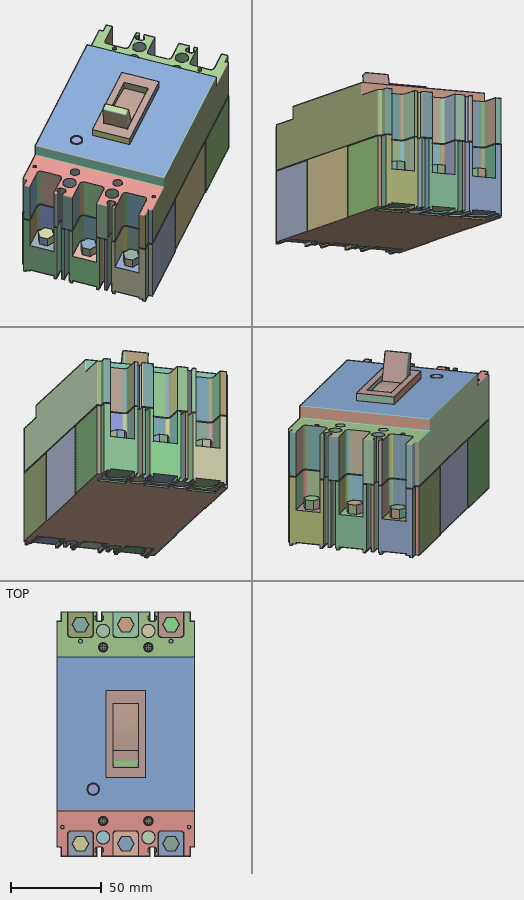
import cadquery as cq
import math


LENGTH = 135.0
WIDTH = 76.0
BASE_TOP = 40.2
SHOULDER_TOP = 65.9
COVER_TOP = 72.9
RAISED_LENGTH = 85.0
COVER_EDGE = 0.4
CORNER_NOTCH_X = 2.3
CORNER_NOTCH_Y = 5.1
SEAM_HEIGHT = 0.4
SEAM_DEPTH = 0.2
SIDE_PANEL_LENGTH = 49.7
SIDE_PANEL_DEPTH = 0.4

POLE_PITCH = 25.0
POLE_CENTRES = (-POLE_PITCH, 0, POLE_PITCH)
GAP_CENTRES = (-POLE_PITCH / 2, POLE_PITCH / 2)
TERMINAL_SIZE = 14.0
TERMINAL_CORNER = 2.0
TERMINAL_FLOOR = 20.8
BOLT_FLATS = 8.0
BOLT_HEIGHT = 5.4
BOLT_TO_END = 7.0

GROOVE_WIDTH = 2.7
GROOVE_OFFSET = 2.2
BARRIER_SEAT_WIDTH = 4.9
BARRIER_SEAT_LENGTH = 3.4

MOUNTING_RADIUS = 3.6
MOUNTING_Y = 57.0
SCREW_HOLE_RADIUS = 2.5
SCREW_HOLE_DEPTH = 8.1
SCREW_HEAD_RADIUS = 2.0
SCREW_HEAD_HEIGHT = 2.0
SCREW_SLOT_WIDTH = 1.0
SCREW_SLOT_DEPTH = 1.1
SCREW_Y = 47.9
PIN_HOLE_DEPTH = 1.4
PIN_HOLE_Y = 51.3
REAR_PIN_RADIUS = 1.1
FRONT_PIN_RADIUS = 1.0
FRONT_PIN_X = 35.0

TERMINAL_RECESS_DEPTH = 1.9
SHALLOW_RECESS_DEPTH = 1.0
SHALLOW_RECESS_LENGTH = 16.2
SHALLOW_RECESS_X = 34.2
MOUNTING_RECESS_WIDTH = 8.2
MOUNTING_RECESS_DEPTH = 1.1

BEZEL_WIDTH = 21.9
BEZEL_LENGTH = 48.0
BEZEL_TOP = 77.2
TOGGLE_WIDTH = 14.0
WELL_LENGTH = 34.0
DRUM_RADIUS = 74.8
TOGGLE_TOP = 90.0
TOGGLE_TOP_DROP = 1.1
TOGGLE_ROOT_Z = 71.5
TOGGLE_ROOT_Y = (-16.0, -8.2)
TOGGLE_TIP_Y = (-18.5, -14.5)
TOGGLE_EDGE = 0.5
BUTTON_X = -18.0
BUTTON_Y = -30.4
BUTTON_RADIUS = 3.0
BUTTON_GAP = 0.4
BUTTON_GAP_DEPTH = 0.7

END_Y = LENGTH / 2
SIDES = (-1, 1)


def block(x_size, y_size, z_low, z_high, x=0, y=0):
    """Upright box centred at (x, y) between two heights."""
    box = cq.Workplane("XY").box(x_size, y_size, z_high - z_low, centered=(True, True, False))
    return box.translate((x, y, z_low))


def cylinder(radius, z_low, z_high, x=0, y=0):
    return cq.Workplane("XY").circle(radius).extrude(z_high - z_low).translate((x, y, z_low))


def end_slot(width, length, z_low, z_high, x, end):
    """Slot with a round inner end, running in from one end face."""
    radius = width / 2
    straight = length - radius
    return block(width, straight, z_low, z_high, x, end * (END_Y - straight / 2)).union(
        cylinder(radius, z_low, z_high, x, end * (END_Y - straight))
    )


def plan(z_low, z_high):
    """Body outline with its four notched corners."""
    narrow = block(WIDTH - 2 * CORNER_NOTCH_X, LENGTH, z_low, z_high)
    return narrow.union(block(WIDTH, LENGTH - 2 * CORNER_NOTCH_Y, z_low, z_high))


def make_base():
    base = plan(0, BASE_TOP)
    for side in SIDES:
        panel_x = side * (WIDTH / 2 - SIDE_PANEL_DEPTH / 2)
        base = base.cut(block(SIDE_PANEL_DEPTH, SIDE_PANEL_LENGTH, 0, BASE_TOP, panel_x))
    groove_length = CORNER_NOTCH_Y + GROOVE_WIDTH / 2
    for end in SIDES:
        for gap in GAP_CENTRES:
            for offset in (-GROOVE_OFFSET, GROOVE_OFFSET):
                base = base.cut(end_slot(GROOVE_WIDTH, groove_length, 0, BASE_TOP, gap + offset, end))
    return base


def make_cover():
    cover = plan(BASE_TOP, SHOULDER_TOP).union(block(WIDTH, RAISED_LENGTH, BASE_TOP, COVER_TOP))
    slot_x = POLE_PITCH / 2 + GROOVE_OFFSET
    seat_y = END_Y - CORNER_NOTCH_Y + BARRIER_SEAT_LENGTH / 2
    mouths = [(side * slot_x, end) for side in SIDES for end in SIDES]
    for x, end in mouths:
        cover = cover.cut(cover_slot(x, end, END_Y - seat_y))
    sharp_corner = cq.selectors.BoxSelector(
        (WIDTH / 2 - 2 * CORNER_NOTCH_X, -END_Y - COVER_EDGE, BASE_TOP + COVER_EDGE),
        (WIDTH / 2 + COVER_EDGE, -END_Y + 2 * CORNER_NOTCH_Y, SHOULDER_TOP - COVER_EDGE),
    )
    rounded_edges = cq.selectors.StringSyntaxSelector("not <Z") - sharp_corner
    cover = cover.edges(rounded_edges).fillet(COVER_EDGE)
    for x, end in mouths:
        seat = cq.Workplane("XY").slot2D(BARRIER_SEAT_WIDTH, BARRIER_SEAT_LENGTH)
        seat = seat.extrude(SHOULDER_TOP - BASE_TOP).translate((x, end * seat_y, BASE_TOP))
        cover = cover.cut(seat).cut(cover_slot(x, end, CORNER_NOTCH_Y))
    return cover


def cover_slot(x, end, length):
    """Square-ended slot through the cover shoulder."""
    return block(GROOVE_WIDTH, length, BASE_TOP, SHOULDER_TOP, x, end * (END_Y - length / 2))


def cut_seam(body):
    """Shallow groove around the parting plane, following the walls and the terminal bays."""
    low = BASE_TOP - SEAM_HEIGHT
    inset = 2 * SEAM_DEPTH
    core = block(WIDTH - 2 * CORNER_NOTCH_X - inset, LENGTH - inset, low, BASE_TOP)
    core = core.union(block(WIDTH - inset, LENGTH - 2 * CORNER_NOTCH_Y - inset, low, BASE_TOP))
    seam = plan(low, BASE_TOP).cut(core)
    for end in SIDES:
        for x in POLE_CENTRES:
            seam = seam.union(terminal_bay(x, end, low, BASE_TOP, SEAM_DEPTH))
    return body.cut(seam)


def cut_shoulder_holes(body):
    for end in SIDES:
        for x in GAP_CENTRES:
            body = body.cut(cylinder(MOUNTING_RADIUS, BASE_TOP, SHOULDER_TOP, x, end * MOUNTING_Y))
            body = body.cut(
                cylinder(SCREW_HOLE_RADIUS, SHOULDER_TOP - SCREW_HOLE_DEPTH, SHOULDER_TOP, x, end * SCREW_Y)
            )
            body = body.union(screw_head(x, end * SCREW_Y))
    pin_bottom = SHOULDER_TOP - PIN_HOLE_DEPTH
    for side in SIDES:
        body = body.cut(cylinder(REAR_PIN_RADIUS, pin_bottom, SHOULDER_TOP, side * POLE_PITCH, PIN_HOLE_Y))
        body = body.cut(cylinder(FRONT_PIN_RADIUS, pin_bottom, SHOULDER_TOP, side * FRONT_PIN_X, -PIN_HOLE_Y))
    return body


def screw_head(x, y):
    """Cross-slotted head standing on the floor of its hole."""
    low = SHOULDER_TOP - SCREW_HOLE_DEPTH
    high = low + SCREW_HEAD_HEIGHT
    slot_low = high - SCREW_SLOT_DEPTH
    slot_length = 2 * SCREW_HEAD_RADIUS
    head = cylinder(SCREW_HEAD_RADIUS, low, high, x, y)
    head = head.cut(block(slot_length, SCREW_SLOT_WIDTH, slot_low, high, x, y))
    return head.cut(block(SCREW_SLOT_WIDTH, slot_length, slot_low, high, x, y))


def terminal_bay(x, end, z_low, z_high, growth=0):
    """Open-ended bay with round inner corners; growth widens its walls."""
    length = TERMINAL_SIZE + growth
    bay = block(TERMINAL_SIZE + 2 * growth, length, z_low, z_high, x, end * (END_Y - length / 2))
    inner_face = "<Y" if end > 0 else ">Y"
    return bay.faces(inner_face).edges("|Z").fillet(TERMINAL_CORNER + growth)


def add_terminals(body):
    bolt = cq.Workplane("XY").polygon(6, BOLT_FLATS / math.cos(math.pi / 6)).extrude(BOLT_HEIGHT)
    for end in SIDES:
        for x in POLE_CENTRES:
            body = body.cut(terminal_bay(x, end, TERMINAL_FLOOR, SHOULDER_TOP))
            body = body.union(bolt.translate((x, end * (END_Y - BOLT_TO_END), TERMINAL_FLOOR)))
    return body


def cut_underside(body):
    mounting_length = END_Y - MOUNTING_Y + MOUNTING_RECESS_WIDTH / 2
    inner_x = POLE_PITCH - TERMINAL_SIZE / 2
    outer_x = (SHALLOW_RECESS_X + inner_x) / 2
    outer_width = SHALLOW_RECESS_X - inner_x
    shallow_recesses = ((-outer_x, outer_width), (0, TERMINAL_SIZE), (outer_x, outer_width))
    for end in SIDES:
        for x in POLE_CENTRES:
            body = body.cut(end_slot(TERMINAL_SIZE, TERMINAL_SIZE, 0, TERMINAL_RECESS_DEPTH, x, end))
        for x in GAP_CENTRES:
            recess = end_slot(MOUNTING_RECESS_WIDTH, mounting_length, 0, MOUNTING_RECESS_DEPTH, x, end)
            body = body.cut(recess)
        shallow_y = end * (END_Y - SHALLOW_RECESS_LENGTH / 2)
        for x, width in shallow_recesses:
            body = body.cut(block(width, SHALLOW_RECESS_LENGTH, 0, SHALLOW_RECESS_DEPTH, x, shallow_y))
    return body


def make_toggle():
    """Tapered lever leaning toward -Y."""
    outline = [
        (TOGGLE_ROOT_Y[0], TOGGLE_ROOT_Z),
        (TOGGLE_ROOT_Y[1], TOGGLE_ROOT_Z),
        (TOGGLE_TIP_Y[1], TOGGLE_TOP),
        (TOGGLE_TIP_Y[0], TOGGLE_TOP - TOGGLE_TOP_DROP),
    ]
    lever = cq.Workplane("YZ").polyline(outline).close().extrude(TOGGLE_WIDTH / 2, both=True)
    return lever.edges("not <Z").fillet(TOGGLE_EDGE)


def add_operating_face(body):
    body = body.union(block(BEZEL_WIDTH, BEZEL_LENGTH, COVER_TOP, BEZEL_TOP))
    drum = cq.Workplane("YZ").circle(DRUM_RADIUS).extrude(TOGGLE_WIDTH / 2, both=True)
    well = block(TOGGLE_WIDTH, WELL_LENGTH, BASE_TOP, BEZEL_TOP).cut(drum)
    body = body.cut(well).union(make_toggle())
    gap_low = COVER_TOP - BUTTON_GAP_DEPTH
    button_gap = cylinder(BUTTON_RADIUS + BUTTON_GAP, gap_low, COVER_TOP, BUTTON_X, BUTTON_Y).cut(
        cylinder(BUTTON_RADIUS, gap_low, COVER_TOP, BUTTON_X, BUTTON_Y)
    )
    return body.cut(button_gap)


result = make_base().union(make_cover())
result = cut_shoulder_holes(result)
result = add_terminals(result)
result = cut_seam(result)
result = cut_underside(result)
result = add_operating_face(result)